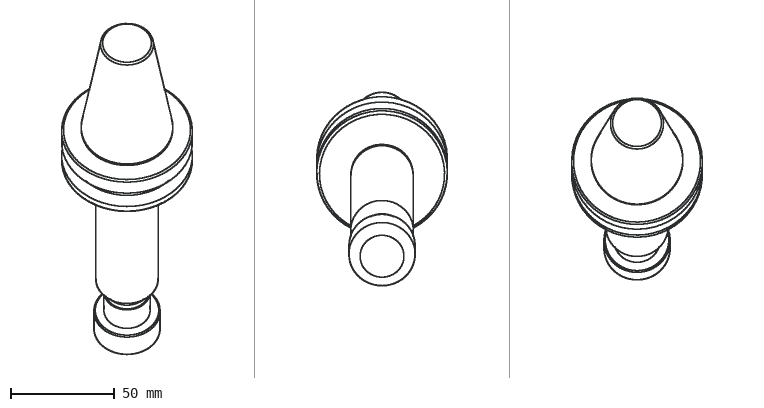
import cadquery as cq

total_height = 225.5
gauge_height = 160.0
gauge_band_bottom = 159.1
flange_top = 158.0
flange_bottom = 133.0
shank_relief_bottom = 131.0
shank_bottom = 42.0
relief_top = 35.0
relief_bottom = 32.0
head_top = 17.5
head_bevel_height = 3.4

flange_diameter = 63.0
groove_diameter = 53.6
gauge_diameter = 44.5
taper_root_diameter = 44.0
shank_diameter = 30.2
shank_relief_diameter = 30.0
neck_diameter = 22.3
relief_diameter = 21.2
head_diameter = 32.0
head_bottom_diameter = 21.2

taper_ratio = 7 / 24
taper_end_diameter = gauge_diameter - taper_ratio * (total_height - gauge_height)

groove_lower_edge = 138.2
groove_upper_edge = 148.5
groove_side_height = 2.7

taper_end_chamfer = 1.0
flange_top_chamfer = 1.0
flange_bottom_chamfer = 1.4
head_top_chamfer = 0.7


def cone(bottom, top, bottom_diameter, top_diameter):
    """Solid cone frustum on the Z axis between two heights."""
    profile = [
        (0, bottom),
        (bottom_diameter / 2, bottom),
        (top_diameter / 2, top),
        (0, top),
    ]
    return cq.Workplane("XZ").polyline(profile).close().revolve(360, (0, 0, 0), (0, 1, 0))


def cylinder(bottom, top, diameter):
    """Solid cylinder on the Z axis between two heights."""
    return cone(bottom, top, diameter, diameter)


def make_taper():
    taper = cone(gauge_height, total_height, gauge_diameter, taper_end_diameter)
    taper = taper.faces(">Z").chamfer(taper_end_chamfer)
    gauge_band = cylinder(gauge_band_bottom, gauge_height, gauge_diameter)
    root = cylinder(flange_top, gauge_band_bottom, taper_root_diameter)
    return taper.union(gauge_band).union(root)


def make_flange():
    flange = cylinder(flange_bottom, flange_top, flange_diameter)
    flange = flange.faces(">Z").chamfer(flange_top_chamfer)
    flange = flange.faces("<Z").chamfer(flange_bottom_chamfer)

    floor_bottom = groove_lower_edge + groove_side_height
    floor_top = groove_upper_edge - groove_side_height
    core = (
        cone(groove_lower_edge, floor_bottom, flange_diameter, groove_diameter)
        .union(cylinder(floor_bottom, floor_top, groove_diameter))
        .union(cone(floor_top, groove_upper_edge, groove_diameter, flange_diameter))
    )
    groove = cylinder(groove_lower_edge, groove_upper_edge, flange_diameter).cut(core)
    return flange.cut(groove)


def make_shank():
    relief = cylinder(shank_relief_bottom, flange_bottom, shank_relief_diameter)
    body = cylinder(shank_bottom, shank_relief_bottom, shank_diameter)
    shoulder = cone(relief_top, shank_bottom, relief_diameter, shank_diameter)
    return body.union(relief).union(shoulder)


def make_neck():
    relief = cylinder(relief_bottom, relief_top, relief_diameter)
    return relief.union(cylinder(head_top, relief_bottom, neck_diameter))


def make_head():
    body = cylinder(head_bevel_height, head_top, head_diameter)
    body = body.faces(">Z").chamfer(head_top_chamfer)
    return body.union(cone(0, head_bevel_height, head_bottom_diameter, head_diameter))


holder = make_taper().union(make_flange()).union(make_shank()).union(make_neck()).union(make_head())

result = holder.translate((0, 0, -total_height / 2))